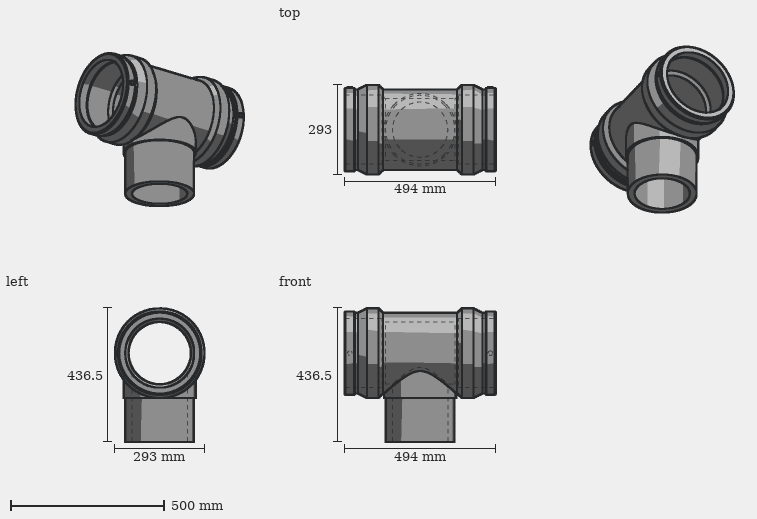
import cadquery as cq

run_length = 494.0
run_diameter = 263.7
run_bore = 202.5

rim_diameter = 272.49
rim_face_diameter = 264.31
rim_length = 34.7
rim_chamfer = (rim_diameter - rim_face_diameter) / 2
bulge_diameter = 293.0
bulge_start = 44.0
bulge_crown_start = 73.5
bulge_crown_end = 111.0
bulge_end = 126.4

socket_bore = 225.0
groove_depth = 0.25
groove_diameter = socket_bore + 2 * groove_depth
groove_start = 31.4
groove_end = rim_length
socket_depth = 122.0
bore_cone_end = socket_depth + (socket_bore - run_bore) / 2

branch_reach = 290.0
branch_diameter = 225.0
branch_bore = 180.0
collar_diameter = 236.25
collar_reach = bulge_diameter / 2

stud_diameter = 15.0
stud_height = 3.2
stud_inset = 18.0
stud_root_depth = 10.0


def revolved_run(half_profile):
    """Revolve a half profile of (inset from the end, diameter) about X, mirrored about X = 0."""
    left = [(inset - run_length / 2, diameter / 2) for inset, diameter in half_profile]
    right = [(-x, radius) for x, radius in reversed(left)]
    axis_left = (-run_length / 2, 0)
    axis_right = (run_length / 2, 0)
    outline = cq.Workplane("XY").polyline([axis_left] + left + right + [axis_right]).close()
    return outline.revolve(360, (0, 0, 0), (1, 0, 0))


def run_body():
    return revolved_run([
        (0, rim_face_diameter),
        (rim_chamfer, rim_diameter),
        (rim_length - rim_chamfer, rim_diameter),
        (rim_length, rim_face_diameter),
        (rim_length, run_diameter),
        (bulge_start, run_diameter),
        (bulge_crown_start, bulge_diameter),
        (bulge_crown_end, bulge_diameter),
        (bulge_end, run_diameter),
    ])


def run_cavity():
    return revolved_run([
        (0, socket_bore),
        (groove_start, socket_bore),
        (groove_start, groove_diameter),
        (groove_end, groove_diameter),
        (groove_end, socket_bore),
        (socket_depth, socket_bore),
        (bore_cone_end, run_bore),
    ])


def branch_cylinder(diameter, reach):
    """A cylinder about Z from the run axis down to the given reach."""
    return cq.Workplane("XY").circle(diameter / 2).extrude(-reach)


def terminal_stud(x):
    """A stud along +Y, rooted inside the rim wall."""
    root = rim_diameter / 2 - stud_root_depth
    plane = cq.Workplane("XZ", origin=(x, root, 0))
    return plane.circle(stud_diameter / 2).extrude(-(stud_root_depth + stud_height))


result = run_body()
result = result.union(branch_cylinder(collar_diameter, collar_reach))
result = result.union(branch_cylinder(branch_diameter, branch_reach))
for side in (-1, 1):
    result = result.union(terminal_stud(side * (run_length / 2 - stud_inset)))
result = result.cut(run_cavity())
result = result.cut(branch_cylinder(branch_bore, branch_reach))